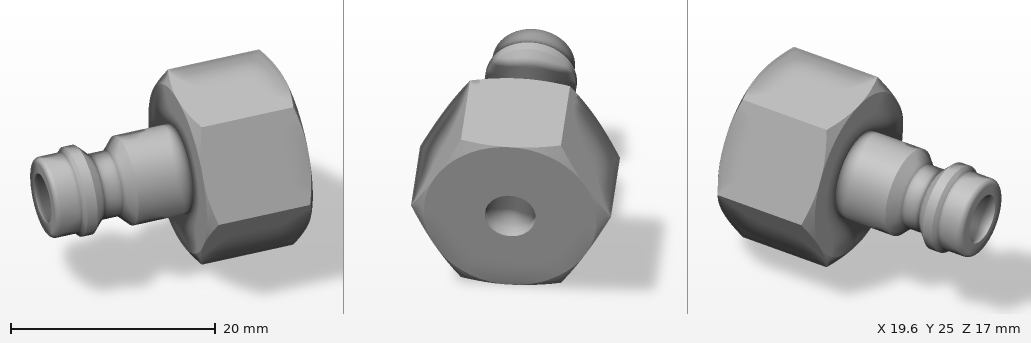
import cadquery as cq
import math

total_length = 25.0
head_length = 11.0
across_flats = 17.0
head_chamfer_angle = 30.0
bore_diameter = 5.0

shank_diameter = 9.0
neck_diameter = 6.6
tip_diameter = 8.12
tip_fillet = 0.5

collar_front = 3.05
collar_back = 4.1
shank_front = 8.35

head_start = total_length - head_length
across_corners = across_flats / math.cos(math.radians(30))
shank_radius = shank_diameter / 2
neck_radius = neck_diameter / 2
tip_radius = tip_diameter / 2
neck_depth = shank_radius - neck_radius
collar_step = shank_radius - tip_radius


def revolve_about_y(profile):
    """Revolve a closed XY profile around the Y axis."""
    return profile.close().revolve(360, (0, 0, 0), (0, 1, 0))


def make_head():
    """Hexagon with corners on X, trimmed by a cone at both ends."""
    hexagon = (
        cq.Workplane("XZ", origin=(0, total_length, 0))
        .polygon(6, across_corners)
        .extrude(head_length)
    )
    face_radius = across_flats / 2
    outer_radius = across_corners
    cone_depth = (outer_radius - face_radius) * math.tan(math.radians(head_chamfer_angle))
    for end, inward in ((head_start, 1), (total_length, -1)):
        cutter = revolve_about_y(
            cq.Workplane("XY")
            .moveTo(face_radius, end)
            .lineTo(outer_radius, end + inward * cone_depth)
            .lineTo(outer_radius, end)
        )
        hexagon = hexagon.cut(cutter)
    return hexagon


def make_spigot():
    """Turned spigot with a rounded tip, locking collar, neck and shank."""
    profile = (
        cq.Workplane("XY")
        .moveTo(0, 0)
        .lineTo(tip_radius - tip_fillet, 0)
        .radiusArc((tip_radius, tip_fillet), -tip_fillet)
        .lineTo(tip_radius, collar_front - collar_step)
        .lineTo(shank_radius, collar_front)
        .lineTo(shank_radius, collar_back)
        .lineTo(neck_radius, collar_back + neck_depth)
        .lineTo(neck_radius, shank_front - neck_depth)
        .lineTo(shank_radius, shank_front)
        .lineTo(shank_radius, head_start)
        .lineTo(0, head_start)
    )
    return revolve_about_y(profile)


bore = (
    cq.Workplane("XZ", origin=(0, total_length, 0))
    .circle(bore_diameter / 2)
    .extrude(total_length)
)

result = make_head().union(make_spigot()).cut(bore)